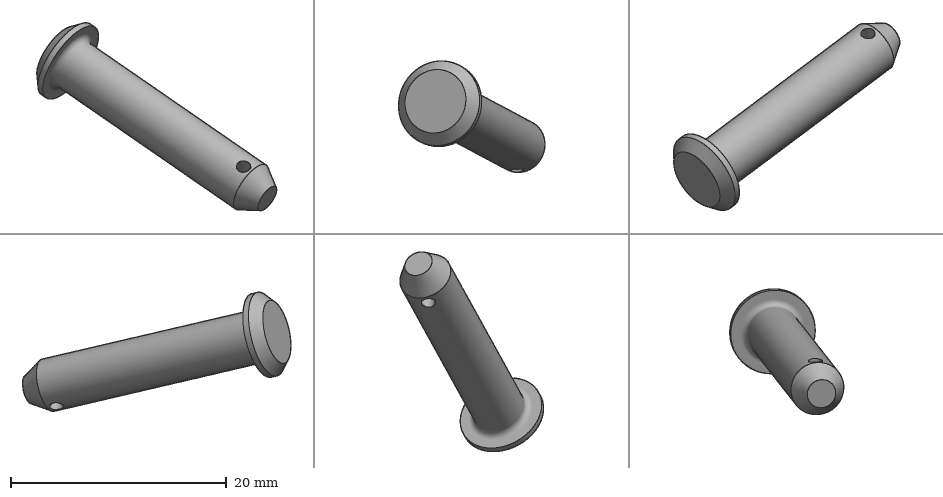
import cadquery as cq
import math

total_length = 25.6
head_diameter = 8.0
head_thickness = 1.6
head_chamfer = 1.0
shank_diameter = 5.0
neck_fillet = 0.6
tip_length = 2.0
tip_half_angle = 30.0
hole_diameter = 1.3
hole_center_x = 22.7

head_radius = head_diameter / 2
shank_radius = shank_diameter / 2
tip_radius = shank_radius - tip_length * math.tan(math.radians(tip_half_angle))


def make_pin_body():
    """Revolve the head, filleted neck, shank and tapered tip about X."""
    arc_offset = neck_fillet * (1 - math.sqrt(0.5))
    profile = (
        cq.Workplane("XZ")
        .lineTo(0, head_radius - head_chamfer)
        .lineTo(head_chamfer, head_radius)
        .lineTo(head_thickness, head_radius)
        .lineTo(head_thickness, shank_radius + neck_fillet)
        .threePointArc(
            (head_thickness + arc_offset, shank_radius + arc_offset),
            (head_thickness + neck_fillet, shank_radius),
        )
        .lineTo(total_length - tip_length, shank_radius)
        .lineTo(total_length, tip_radius)
        .lineTo(total_length, 0)
        .close()
    )
    return profile.revolve(360, (0, 0, 0), (1, 0, 0))


def make_cotter_hole():
    """Cylinder along Z that passes through the whole shank."""
    return (
        cq.Workplane("XY")
        .center(hole_center_x, 0)
        .circle(hole_diameter / 2)
        .extrude(shank_radius, both=True)
    )


result = make_pin_body().cut(make_cotter_hole())